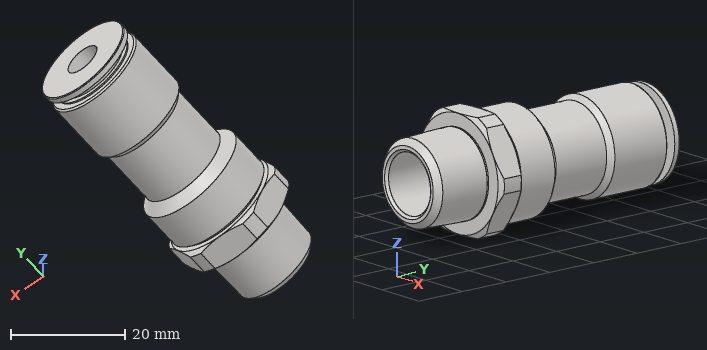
import cadquery as cq

total_length = 54.6

thread_tip_diameter = 16.3
thread_root_diameter = 16.9
tip_chamfer = 1.2
thread_end = 11.15
thread_neck_diameter = 16.85

nut_start = 11.45
nut_end = 16.6
across_flats = 22.0
nut_corner_diameter = 23.95
corner_angle = 90
nut_face_diameter = 21.95
nut_chamfer_length = 0.6

undercut_diameter = 19.5
collar_diameter = 21.0
collar_start = 17.2
collar_end = 24.9
waist_diameter = 17.0
waist_start = 26.85
waist_end = 38.45
socket_diameter = 19.0
socket_start = 39.5
socket_end = 51.65
socket_chamfer = 0.35
seat_diameter = 15.85
seat_end = 51.9

ring_neck_diameter = 13.75
ring_diameter = 18.5
ring_start = 53.4
ring_chamfer = 0.15

passage_diameter = 6.5
bore_diameter = 11.5
bore_mouth_diameter = 12.5
bore_chamfer_length = (bore_mouth_diameter - bore_diameter) / 2
bore_depth = 12.0
bore_cone_end = 13.5


def revolve_sections(sections):
    """Revolve a solid about Y from its (diameter, y) outline."""
    outline = [(diameter / 2, y) for diameter, y in sections]
    first_y = outline[0][1]
    last_y = outline[-1][1]
    points = [(0, first_y), *outline, (0, last_y)]
    return cq.Workplane("XY").polyline(points).close().revolve(360, (0, 0, 0), (0, 1, 0))


def make_body():
    return revolve_sections([
        (thread_tip_diameter - 2 * tip_chamfer, 0),
        (thread_tip_diameter, tip_chamfer),
        (thread_root_diameter, thread_end),
        (thread_neck_diameter, thread_end),
        (thread_neck_diameter, nut_start),
        (undercut_diameter, nut_start),
        (undercut_diameter, nut_end),
        (collar_diameter, collar_start),
        (collar_diameter, collar_end),
        (waist_diameter, waist_start),
        (waist_diameter, waist_end),
        (socket_diameter, socket_start),
        (socket_diameter, socket_end - socket_chamfer),
        (socket_diameter - 2 * socket_chamfer, socket_end),
        (seat_diameter, socket_end),
        (seat_diameter, seat_end),
        (ring_neck_diameter, seat_end),
        (ring_neck_diameter, ring_start),
        (ring_diameter, ring_start),
        (ring_diameter, total_length - ring_chamfer),
        (ring_diameter - 2 * ring_chamfer, total_length),
    ])


def make_nut():
    """Hexagon with flats facing Z, its corners turned round and chamfered on both faces."""
    hexagon = (
        cq.Workplane("XZ", origin=(0, nut_start, 0))
        .polygon(6, across_flats, circumscribed=True)
        .extrude(nut_start - nut_end)
        .rotate((0, 0, 0), (0, 1, 0), corner_angle)
    )
    turned_blank = revolve_sections([
        (nut_face_diameter, nut_start),
        (nut_corner_diameter, nut_start + nut_chamfer_length),
        (nut_corner_diameter, nut_end - nut_chamfer_length),
        (nut_face_diameter, nut_end),
    ])
    return hexagon.intersect(turned_blank)


def make_passage():
    """Wide bore at the threaded end, tapering into the through passage."""
    return revolve_sections([
        (bore_mouth_diameter, 0),
        (bore_diameter, bore_chamfer_length),
        (bore_diameter, bore_depth),
        (passage_diameter, bore_cone_end),
        (passage_diameter, total_length),
    ])


result = make_body().union(make_nut()).cut(make_passage())